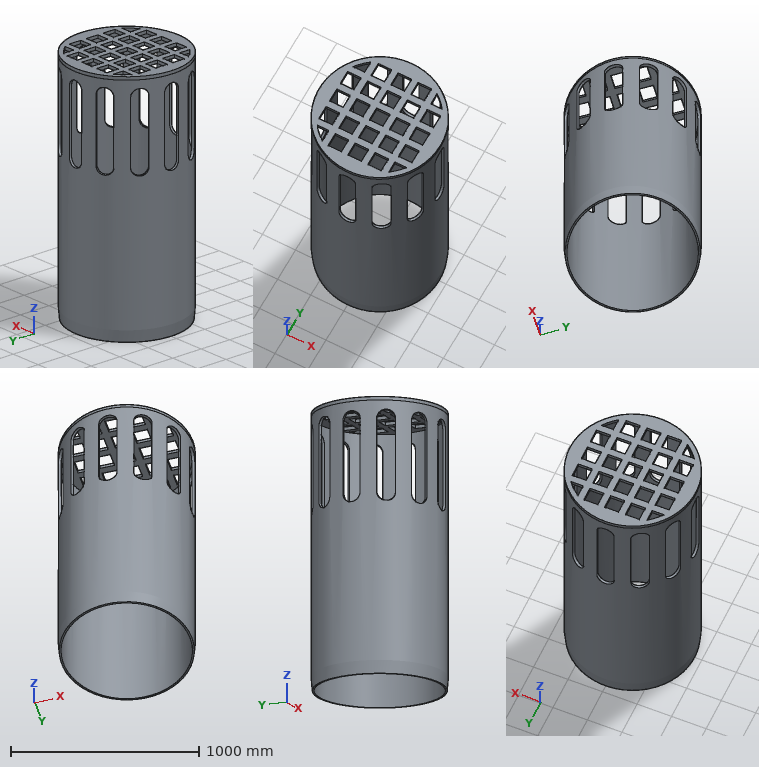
import cadquery as cq

HEIGHT = 1520.0
OUTER_DIAMETER = 730.0
OUTER_RADIUS = OUTER_DIAMETER / 2

GRATE_THICKNESS = 20.0

BORE_DIAMETER = 698.0
TUBE_HEIGHT = HEIGHT - GRATE_THICKNESS
TAPER_HEIGHT = 70.0
TAPER_FOOT_DIAMETER = 717.0

SLOT_COUNT = 12
SLOT_WIDTH = 100.0
SLOT_LENGTH = 500.0
SLOT_TOP_GAP = 70.0
SLOT_TOP_Z = HEIGHT - SLOT_TOP_GAP
SLOT_CENTRE_Z = SLOT_TOP_Z - SLOT_LENGTH / 2

OPENINGS_PER_SIDE = 5
OPENING_SIZE = 80.0
OPENING_PITCH = 120.0
PIERCED_DIAMETER = 670.0


def slot_cutter(angle):
    """Radial slot through one side of the tube wall, long in Z."""
    cutter = (
        cq.Workplane("XZ", origin=(0, 0, SLOT_CENTRE_Z))
        .slot2D(SLOT_LENGTH, SLOT_WIDTH, angle=90)
        .extrude(OUTER_DIAMETER)
    )
    return cutter.rotate((0, 0, 0), (0, 0, 1), angle)


def make_tube():
    """Open tube with a tapered foot and a ring of slots near the top."""
    bore_radius = BORE_DIAMETER / 2
    wall_section = (
        cq.Workplane("XZ")
        .moveTo(bore_radius, 0)
        .lineTo(TAPER_FOOT_DIAMETER / 2, 0)
        .lineTo(OUTER_RADIUS, TAPER_HEIGHT)
        .lineTo(OUTER_RADIUS, TUBE_HEIGHT)
        .lineTo(bore_radius, TUBE_HEIGHT)
        .close()
    )
    tube = wall_section.revolve(360, (0, 0, 0), (0, 1, 0))
    for index in range(SLOT_COUNT):
        tube = tube.cut(slot_cutter(index * 360 / SLOT_COUNT))
    return tube


def grate_openings():
    """Square grid of openings, its corner squares rounded off by the grate rim."""
    square_grid = (
        cq.Workplane("XY", origin=(0, 0, TUBE_HEIGHT))
        .rarray(OPENING_PITCH, OPENING_PITCH, OPENINGS_PER_SIDE, OPENINGS_PER_SIDE)
        .rect(OPENING_SIZE, OPENING_SIZE)
        .extrude(GRATE_THICKNESS)
    )
    pierced_zone = (
        cq.Workplane("XY", origin=(0, 0, TUBE_HEIGHT))
        .circle(PIERCED_DIAMETER / 2)
        .extrude(GRATE_THICKNESS)
    )
    return square_grid.intersect(pierced_zone)


def make_grate():
    """Flat disc on top of the tube, pierced by the grid of openings."""
    disc = (
        cq.Workplane("XY", origin=(0, 0, TUBE_HEIGHT))
        .circle(OUTER_RADIUS)
        .extrude(GRATE_THICKNESS)
    )
    return disc.cut(grate_openings())


tube = make_tube()
grate = make_grate()

result = cq.Compound.makeCompound([tube.val(), grate.val()])